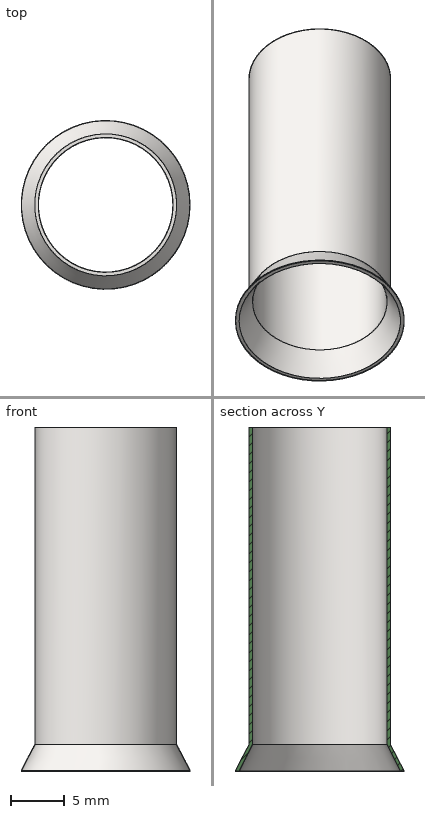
import cadquery as cq

total_height = 32.0
bore_diameter = 12.5
wall = 0.35
flare_diameter = 15.7
flare_height = 2.5
rim_height = 0.1

bore_radius = bore_diameter / 2
tube_radius = bore_radius + wall
flare_radius = flare_diameter / 2
mouth_radius = flare_radius - wall


def flared_sleeve():
    """Thin tube whose foot opens out as a hollow cone ending in a short straight rim."""
    half_section = (
        cq.Workplane("XZ")
        .moveTo(mouth_radius, 0)
        .lineTo(flare_radius, 0)
        .lineTo(flare_radius, rim_height)
        .lineTo(tube_radius, flare_height)
        .lineTo(tube_radius, total_height)
        .lineTo(bore_radius, total_height)
        .lineTo(bore_radius, flare_height)
        .close()
    )
    return half_section.revolve(360, (0, 0, 0), (0, 1, 0))


result = flared_sleeve()